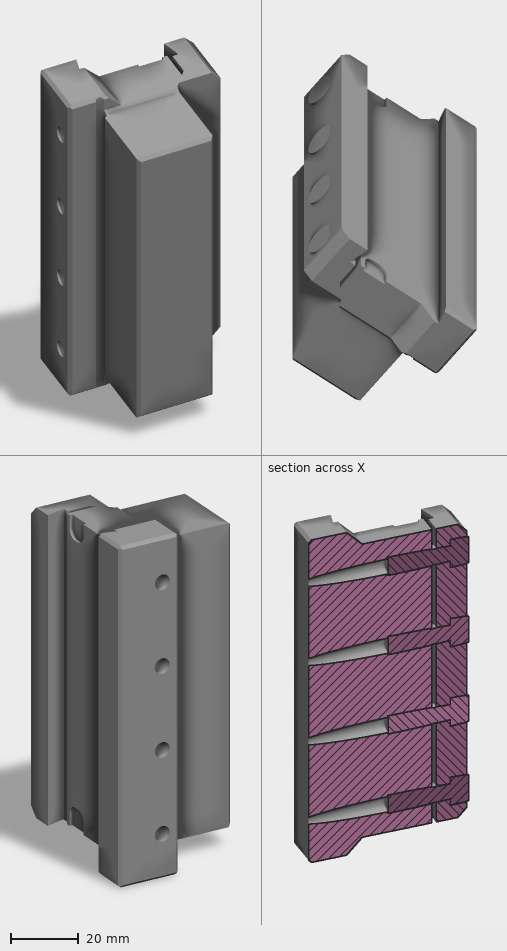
import cadquery as cq
import math

holder_length = 110.0
body_length = 100.0
shank_length = 98.0
total_depth = 45.0
base_depth = 20.5
seat_x = 5.5
edge_chamfer = 1.0

fixed_jaw_tip_y = 12.1
jaw_angle = math.radians(15)
end_step = (holder_length - body_length) / 2
body_top_y = 39.3
shank_top_y = 35.6
shank_width = 25.0
shank_bottom_y = shank_top_y - shank_width
relief_radius = 1.55
relief_offset_x = 0.8
relief_offset_y = 0.55

ramp_angle = math.radians(40)
ramp_top_x = 15.65

pocket_width = 7.9
pocket_length = 7.0
pocket_depth = 1.0
pocket_centre_y = 33.75
pocket_corner_radius = 3.1

clamp_depth = 18.5
clamp_top_y = 50.6
clamp_bottom_y = 40.7
clamp_jaw_tip_y = 41.0
clamp_lip_x = 6.4
jaw_groove_start_x = 5.6
clamp_chamfer = 3.0

screw_count = 4
screw_pitch = 27.0
screw_tilt = 5.0
screw_diameter = 6.0
head_diameter = 10.0
head_height = 6.0
access_hole_diameter = 5.0
access_overrun = 1.0
hole_front_x = 14.65
overall_width = 51.46
tip_distance = 25.5
tilt = math.radians(screw_tilt)
head_top_distance = (overall_width - head_diameter / 2 * math.sin(tilt)) / math.cos(tilt)
seat_distance = head_top_distance - head_height


def ramp_x(y):
    """X of the clamping ramp at height y."""
    return ramp_top_x + (body_top_y - y) / math.tan(ramp_angle)


def ramp_y(x):
    """Y of the clamping ramp at depth x."""
    return body_top_y - (x - ramp_top_x) * math.tan(ramp_angle)


def prism(points, length):
    """Extrude an XY outline along Z, centred on Z = 0."""
    return cq.Workplane("XY").polyline(points).close().extrude(length / 2, both=True)


def axis_cylinder(diameter, start, end, z):
    """Cylinder on a screw axis between two distances from the front face."""
    direction = cq.Vector(-math.sin(tilt), math.cos(tilt), 0)
    foot = cq.Vector(hole_front_x, 0, z) + direction * start
    solid = cq.Solid.makeCylinder(diameter / 2, end - start, foot, direction)
    return cq.Workplane(obj=solid)


def make_screw(z):
    shank = axis_cylinder(screw_diameter, tip_distance, seat_distance, z)
    head = axis_cylinder(head_diameter, seat_distance, head_top_distance, z)
    return shank.union(head)


def make_end_bevels(side):
    """Wedges that bevel the left and right edges of one end of the fixed jaw."""
    wedges = cq.Workplane("XY")
    end_z = side * holder_length / 2
    for edge_x, inward in ((0, 1), (base_depth, -1)):
        wedge = (
            cq.Workplane("XZ")
            .polyline(
                [
                    (edge_x, end_z),
                    (edge_x + inward * edge_chamfer, end_z),
                    (edge_x, end_z - side * edge_chamfer),
                ]
            )
            .close()
            .extrude(-body_top_y)
        )
        wedges = wedges.add(wedge)
    return wedges.combine()


def make_base():
    """Fixed jaw and blade seat, with sloped steps from the jaw to the body."""
    jaw_root_y = fixed_jaw_tip_y - seat_x * math.tan(jaw_angle)
    base = prism(
        [
            (0, 0),
            (base_depth, 0),
            (base_depth, shank_top_y),
            (ramp_x(shank_top_y), shank_top_y),
            (ramp_top_x, body_top_y),
            (seat_x, body_top_y),
            (seat_x, jaw_root_y),
            (0, fixed_jaw_tip_y),
        ],
        holder_length,
    )
    base = base.faces("<Y").edges().chamfer(edge_chamfer)
    for side in (1, -1):
        step = (
            cq.Workplane("YZ")
            .polyline(
                [
                    (fixed_jaw_tip_y, side * holder_length / 2),
                    (fixed_jaw_tip_y + end_step, side * body_length / 2),
                    (body_top_y, side * body_length / 2),
                    (body_top_y, side * holder_length / 2),
                ]
            )
            .close()
            .extrude(base_depth)
        )
        base = base.cut(step).cut(make_end_bevels(side))
    return base


def make_shank():
    """Rectangular shank, flared at both ends where it meets the base."""
    shank = (
        cq.Workplane("XY")
        .box(total_depth - base_depth, shank_width, shank_length, centered=(False, False, True))
        .translate((base_depth, shank_bottom_y, 0))
        .faces(">X")
        .edges()
        .chamfer(edge_chamfer)
    )
    flare_x = base_depth + (body_length - shank_length) / 2
    flare = (
        cq.Workplane("XZ", origin=(0, shank_bottom_y, 0))
        .polyline(
            [
                (base_depth, body_length / 2),
                (flare_x, shank_length / 2),
                (flare_x, -shank_length / 2),
                (base_depth, -body_length / 2),
            ]
        )
        .close()
        .extrude(-shank_width)
    )
    return shank.union(flare)


def make_pocket(side):
    """Open-ended pocket in the blade seat, at one end of the body."""
    end_z = body_length / 2
    pocket = (
        cq.Workplane("XY")
        .box(pocket_depth, pocket_width, pocket_length, centered=(False, True, False))
        .edges("|X and <Z")
        .fillet(pocket_corner_radius)
        .translate((seat_x, pocket_centre_y, end_z - pocket_length))
    )
    return pocket if side > 0 else pocket.mirror("XY")


def make_holder(screw_positions):
    holder = make_base().union(make_shank())
    relief = (
        cq.Workplane("XY")
        .center(base_depth + relief_offset_x, shank_bottom_y - relief_offset_y)
        .circle(relief_radius)
        .extrude(holder_length / 2, both=True)
    )
    holder = holder.cut(relief)
    for side in (1, -1):
        holder = holder.cut(make_pocket(side))
    for z in screw_positions:
        holder = holder.cut(axis_cylinder(access_hole_diameter, -access_overrun, tip_distance, z))
        holder = holder.cut(axis_cylinder(screw_diameter, tip_distance, head_top_distance, z))
    return holder


def make_clamp(screw_positions):
    groove_y = clamp_jaw_tip_y + jaw_groove_start_x * math.tan(jaw_angle)
    clamp = prism(
        [
            (0, clamp_jaw_tip_y),
            (jaw_groove_start_x, groove_y),
            (clamp_lip_x, groove_y),
            (clamp_lip_x, clamp_bottom_y),
            (ramp_x(clamp_bottom_y), clamp_bottom_y),
            (clamp_depth, ramp_y(clamp_depth)),
            (clamp_depth, clamp_top_y),
            (0, clamp_top_y),
        ],
        body_length,
    )
    clamp = clamp.faces(">Y").edges("|X").chamfer(clamp_chamfer)
    for z in screw_positions:
        clamp = clamp.cut(axis_cylinder(screw_diameter, tip_distance, seat_distance, z))
        clamp = clamp.cut(axis_cylinder(head_diameter, seat_distance, head_top_distance, z))
    return clamp


screw_positions = [(i - (screw_count - 1) / 2) * screw_pitch for i in range(screw_count)]
holder = make_holder(screw_positions)
clamp = make_clamp(screw_positions)
screws = [make_screw(z) for z in screw_positions]

result = cq.Compound.makeCompound([holder.val(), clamp.val(), *[screw.val() for screw in screws]])